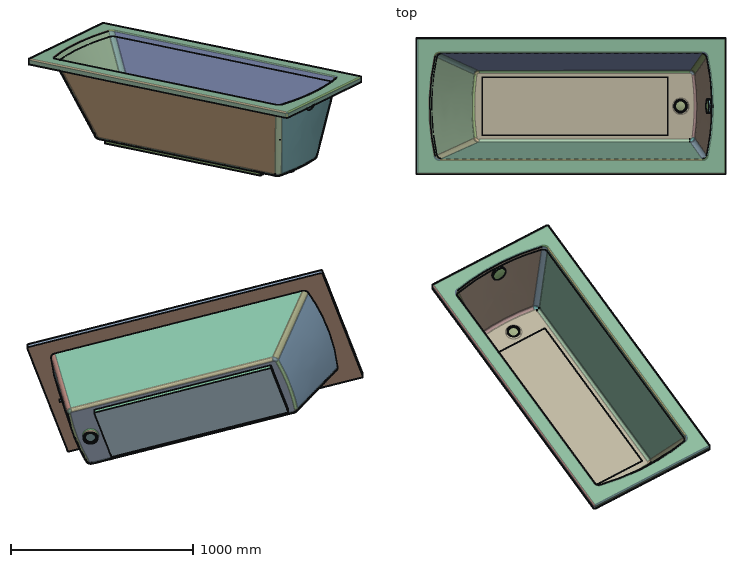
import cadquery as cq
import math


LENGTH = 1700.0
WIDTH = 750.0
HEIGHT = 486.0

RIM_THICKNESS = 34.0
EDGE_RADIUS = 7.5

WALL = 5.0
BASIN_DEPTH = 459.0
TOP_HALF_WIDTH = 298.0
BOTTOM_HALF_WIDTH = 197.0
TOP_HEAD_X = -784.0
BOTTOM_HEAD_X = -542.0
TOP_FOOT_X = 780.0
BOTTOM_FOOT_X = 692.0
END_ARC_RADIUS = 1275.0
CORNER_RADIUS = 30.0
FLOOR_RADIUS = 20.0

DRAIN_X = 602.0
WELL_OUTER_DIAMETER = 80.0
WELL_FILLET = 5.0
PLUG_DIAMETER = 60.0
PLUG_DOME = 5.0

OVERFLOW_Z = -70.0
CAP_DIAMETER = 80.0
CAP_PROTRUSION = 17.0
CAP_DOME = 3.0
STEM_DIAMETER = 15.0
STEM_PROTRUSION = 14.0

BOARD_LENGTH = 1018.0
BOARD_WIDTH = 318.0
BOARD_CENTRE_X = 22.0

FLOOR_Z = WALL - BASIN_DEPTH
BOARD_THICKNESS = HEIGHT - BASIN_DEPTH
WELL_DIAMETER = WELL_OUTER_DIAMETER - 2 * WALL
WELL_FLOOR_Z = WALL - HEIGHT

SIDE_SLOPE = (TOP_HALF_WIDTH - BOTTOM_HALF_WIDTH) / BASIN_DEPTH
HEAD_SLOPE = (BOTTOM_HEAD_X - TOP_HEAD_X) / BASIN_DEPTH
FOOT_SLOPE = (TOP_FOOT_X - BOTTOM_FOOT_X) / BASIN_DEPTH


def wall_shift(slope, inset):
    """Horizontal distance that moves a sloping wall inward by `inset` along its normal."""
    return inset * math.hypot(1, slope)


def basin_outline(z, inset):
    """Closed wire of the basin at height z: straight sides, ends bowed outward."""
    half_width = TOP_HALF_WIDTH + SIDE_SLOPE * z - wall_shift(SIDE_SLOPE, inset)
    head_x = TOP_HEAD_X - HEAD_SLOPE * z + wall_shift(HEAD_SLOPE, inset)
    foot_x = TOP_FOOT_X + FOOT_SLOPE * z - wall_shift(FOOT_SLOPE, inset)
    bow = END_ARC_RADIUS - math.sqrt(END_ARC_RADIUS**2 - half_width**2)
    return (
        cq.Workplane("XY", origin=(0, 0, z))
        .moveTo(head_x + bow, -half_width)
        .lineTo(foot_x - bow, -half_width)
        .threePointArc((foot_x, 0), (foot_x - bow, half_width))
        .lineTo(head_x + bow, half_width)
        .threePointArc((head_x, 0), (head_x + bow, -half_width))
        .close()
        .val()
    )


def basin_block(bottom_z, inset):
    """Solid tapered basin with rounded corners and a rounded bottom edge."""
    block = cq.Solid.makeLoft([basin_outline(0, inset), basin_outline(bottom_z, inset)], True)
    corner_edges = "not(<Z or >Z)"
    return (
        cq.Workplane(block)
        .edges(corner_edges)
        .fillet(CORNER_RADIUS - inset)
        .faces("<Z")
        .edges()
        .fillet(FLOOR_RADIUS - inset)
    )


def make_rim():
    return (
        cq.Workplane("XY", origin=(0, 0, -RIM_THICKNESS))
        .rect(LENGTH, WIDTH)
        .extrude(RIM_THICKNESS)
        .edges("|Z or >Z")
        .fillet(EDGE_RADIUS)
    )


def upright_cylinder(diameter, bottom_z, top_z):
    return (
        cq.Workplane("XY", origin=(DRAIN_X, 0, bottom_z))
        .circle(diameter / 2)
        .extrude(top_z - bottom_z)
    )


def make_tub():
    """Rim and thin-walled basin, with a blind well in the floor for the drain plug."""
    well = upright_cylinder(WELL_OUTER_DIAMETER, -HEIGHT, FLOOR_Z)
    well_root = cq.selectors.BoxSelector(
        (DRAIN_X - WELL_OUTER_DIAMETER, -WELL_OUTER_DIAMETER, -BASIN_DEPTH - WALL / 2),
        (DRAIN_X + WELL_OUTER_DIAMETER, WELL_OUTER_DIAMETER, -BASIN_DEPTH + WALL / 2),
    )
    outside = basin_block(-BASIN_DEPTH, 0).union(well).edges(well_root).fillet(WELL_FILLET)
    tub = make_rim().union(outside).cut(basin_block(FLOOR_Z, WALL))
    lip = cq.selectors.BoxSelector(
        (TOP_HEAD_X, -TOP_HALF_WIDTH, -WALL / 2),
        (TOP_FOOT_X, TOP_HALF_WIDTH, WALL / 2),
    )
    tub = tub.edges(lip).fillet(EDGE_RADIUS)
    return tub.cut(upright_cylinder(WELL_DIAMETER, WELL_FLOOR_Z, 0))


def make_base_board():
    return (
        cq.Workplane("XY", origin=(BOARD_CENTRE_X, 0, -HEIGHT))
        .rect(BOARD_LENGTH, BOARD_WIDTH)
        .extrude(BOARD_THICKNESS)
    )


def domed_disc(diameter, height, dome):
    """Disc standing on Z = 0, with a domed top that rises `dome` above its side."""
    radius = diameter / 2
    dome_radius = (radius**2 + dome**2) / (2 * dome)
    half_angle = math.asin(radius / dome_radius) / 2
    side_height = height - dome
    midpoint = (
        dome_radius * math.sin(half_angle),
        height - dome_radius * (1 - math.cos(half_angle)),
    )
    return (
        cq.Workplane("XZ")
        .lineTo(radius, 0)
        .lineTo(radius, side_height)
        .threePointArc(midpoint, (0, height))
        .close()
        .revolve(360, (0, 0), (0, 1))
    )


def make_drain_plug():
    """Domed plug that rests on the floor of the drain well."""
    plug = domed_disc(PLUG_DIAMETER, FLOOR_Z - WELL_FLOOR_Z, PLUG_DOME)
    return plug.translate((DRAIN_X, 0, WELL_FLOOR_Z))


def place_on_foot_wall(shape):
    """Move a shape so its origin lies midway in the foot wall and its +Z points into the basin."""
    wall_x = TOP_FOOT_X + FOOT_SLOPE * OVERFLOW_Z - wall_shift(FOOT_SLOPE, WALL / 2)
    tilt = math.degrees(math.atan(FOOT_SLOPE)) - 90
    return shape.rotate((0, 0, 0), (0, 1, 0), tilt).translate((wall_x, 0, OVERFLOW_Z))


def make_overflow_stem():
    """Thin pin through the foot wall, ending outside the basin."""
    stem = (
        cq.Workplane("XY", origin=(0, 0, -WALL / 2 - STEM_PROTRUSION))
        .circle(STEM_DIAMETER / 2)
        .extrude(STEM_PROTRUSION + WALL + CAP_PROTRUSION / 2)
    )
    return place_on_foot_wall(stem)


def make_overflow_cap(tub, stem):
    """Domed cap whose back fits the curved foot wall, joined to its stem."""
    cap = place_on_foot_wall(domed_disc(CAP_DIAMETER, WALL / 2 + CAP_PROTRUSION, CAP_DOME))
    return cap.cut(tub).union(stem)


overflow_stem = make_overflow_stem()
tub = make_tub().cut(overflow_stem)
base_board = make_base_board()
drain_plug = make_drain_plug()
overflow_cap = make_overflow_cap(tub, overflow_stem)

bodies = [tub, base_board, drain_plug, overflow_cap]
result = cq.Compound.makeCompound([body.solids().val() for body in bodies])